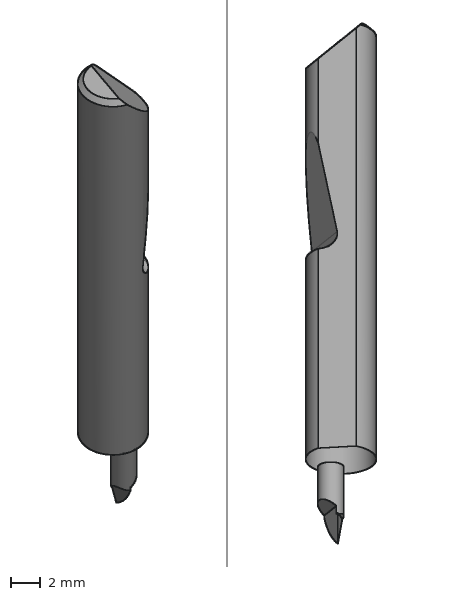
import cadquery as cq
import math

total_length = 37.88
shank_diameter = 4.77
shank_radius = shank_diameter / 2
shank_bottom = 6.15
end_chamfer = 0.38

flat_distance = 2.0
flat_direction = 145

bevel_edge_y = -0.6

notch_top = 29.93
notch_bottom = 20.95
notch_floor_y = 1.15
notch_radius = 1.05
notch_slope = 9

neck_diameter = 1.78
neck_radius = neck_diameter / 2
neck_x = shank_radius - neck_radius
relief_back_z = 3.52
relief_front_z = 2.9

rake_y = 0.05
point_x = 0.38
shoulder_z = 2.35
shoulder_angle = 50
corner_chamfer_x = 0.1
corner_chamfer_z = 0.25
edge_middle = (1.78, 1.5)
edge_end = (shank_radius, 2.7)
clearance_run = (2.1, -1.9, 5.6)

clear = 7.58


def prism_along_x(points):
    """Extrude a closed (Y, Z) outline across the whole width in X."""
    return cq.Workplane("YZ").polyline(points).close().extrude(clear, both=True)


def make_shank():
    shank = (
        cq.Workplane("XY")
        .workplane(offset=shank_bottom)
        .circle(shank_radius)
        .extrude(total_length - shank_bottom)
        .faces(">Z")
        .chamfer(end_chamfer)
    )
    flat_cut = (
        cq.Workplane("XY")
        .box(clear, clear, total_length, centered=(False, True, False))
        .translate((flat_distance, 0, 0))
        .rotate((0, 0, 0), (0, 0, 1), flat_direction)
    )
    bevel_cut = prism_along_x([
        (bevel_edge_y, total_length),
        (bevel_edge_y + clear, total_length - clear),
        (bevel_edge_y + clear, total_length),
    ])
    return shank.cut(flat_cut).cut(bevel_cut).cut(make_notch())


def make_notch():
    """Slope running down into an arc that curls back out at the bottom."""
    slope = math.radians(notch_slope)
    arc_y = notch_floor_y + notch_radius
    arc_z = notch_bottom + notch_radius
    arc_start = (arc_y - notch_radius * math.cos(slope), arc_z - notch_radius * math.sin(slope))
    tangent = (arc_y - notch_radius * math.cos(slope), arc_z + notch_radius * math.sin(slope))
    return (
        cq.Workplane("YZ")
        .moveTo(shank_radius, notch_top)
        .lineTo(*tangent)
        .threePointArc(arc_start, (arc_y, notch_bottom))
        .lineTo(arc_y + clear, notch_bottom)
        .lineTo(arc_y + clear, notch_top)
        .close()
        .extrude(clear, both=True)
    )


def clearance_body(left_x):
    """Oblique prism above the curved cutting edge, leaning along the clearance direction."""
    scale = clear / -clearance_run[1]
    shift = cq.Vector(*clearance_run) * scale
    profile = (
        cq.Workplane("XZ", origin=(0, rake_y, 0))
        .moveTo(point_x, 0)
        .threePointArc(edge_middle, edge_end)
        .lineTo(edge_end[0], total_length)
        .lineTo(left_x, total_length)
        .lineTo(left_x, 0)
        .close()
        .wire()
        .val()
    )
    return cq.Workplane(cq.Solid.makeLoft([profile, profile.translate(shift)], True))


def make_neck_and_tip():
    neck = cq.Workplane("XY").center(neck_x, 0).circle(neck_radius).extrude(shank_bottom)
    relief_slope = (relief_back_z - relief_front_z) / (neck_radius - rake_y)
    relief_cut = prism_along_x([
        (rake_y, 0),
        (rake_y, relief_front_z),
        (clear, relief_front_z + (clear - rake_y) * relief_slope),
        (clear, 0),
    ])
    neck = neck.cut(relief_cut)

    widening = (
        cq.Workplane("XZ", origin=(0, rake_y, 0))
        .moveTo(point_x, 0)
        .lineTo(point_x, shoulder_z - corner_chamfer_z)
        .lineTo(point_x + corner_chamfer_x, shoulder_z)
        .lineTo(neck_x, shoulder_z)
        .lineTo(neck_x, 0)
        .close()
        .extrude(neck_radius)
    )
    front_half = cq.Workplane("XY").box(2 * clear, clear, total_length, centered=(True, False, False))
    front_half = front_half.translate((0, rake_y - clear, 0))
    tooth = neck.intersect(front_half).union(widening).intersect(clearance_body(point_x))

    shoulder_rise = clear * math.tan(math.radians(shoulder_angle))
    side_face_direction = math.degrees(math.atan2(clearance_run[1], clearance_run[0]))
    below_shoulder = prism_along_x([
        (clear, 0),
        (clear, shoulder_z),
        (0, shoulder_z),
        (-clear, shoulder_z + shoulder_rise),
        (-clear, 0),
    ])
    below_shoulder = below_shoulder.rotate((0, 0, 0), (0, 0, 1), side_face_direction)
    below_shoulder = below_shoulder.translate((point_x, rake_y, 0))
    upper_neck = neck.cut(below_shoulder)
    back = upper_neck.cut(front_half)
    front = upper_neck.intersect(front_half).intersect(clearance_body(-clear))
    return tooth.union(front).union(back)


result = make_shank().union(make_neck_and_tip())